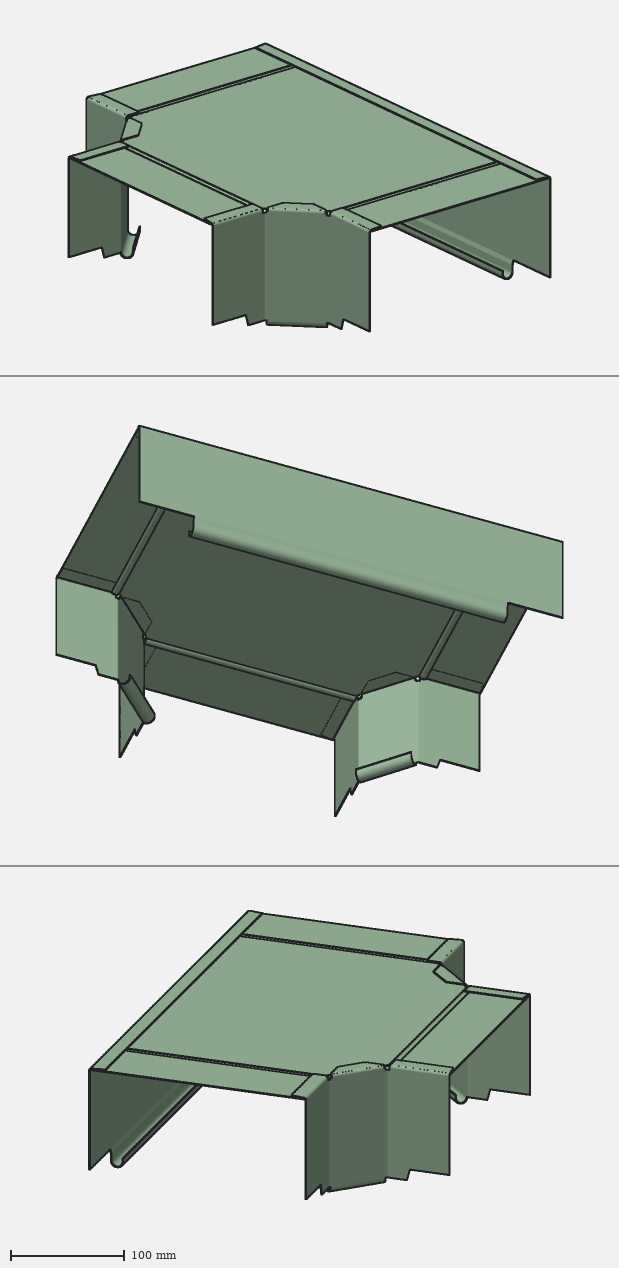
import cadquery as cq
import math


overall_length = 400.0
overall_depth = 302.5
overall_height = 113.0
passage_width = 204.5
corner_leg = 40.0
sheet = 1.0
bend_radius = 3.0
flange_width = 15.0
flange_taper = 1.5
fold_radius = 1.2
relief_depth = 4.5
fold_gap = 1.5
wall_height = 96.5
hook_radius = 6.0
hook_lip = 3.2
hook_setback = 1.2
setback_drop = 4.0
back_hook_length = 297.0
notch_start = 37.2
notch_slope = 3.0
groove_width = 6.0
groove_depth = 2.0

half_length = overall_length / 2
half_width = passage_width / 2
branch_end = overall_depth - half_width
fold = half_width + corner_leg
arm_length = half_length - fold
branch_length = branch_end - fold
corner_length = corner_leg * math.sqrt(2)
mitre = math.tan(math.radians(22.5))
flange_bottom = overall_height - sheet
bend_bottom = overall_height - bend_radius
plate_edge = half_width - bend_radius
wall_bottom = overall_height - wall_height


def half_turn_offset(radius):
    """Offset of a 45 degree point on an arc of the given radius."""
    return radius * math.sqrt(0.5)


def flange(length, start_gap, end_gap, start_taper, end_taper):
    """Quarter bend on top of a wall and the flat flange that follows it."""
    inner_radius = bend_radius - sheet
    outer_mid = half_turn_offset(bend_radius)
    inner_mid = half_turn_offset(inner_radius)
    bend = (
        cq.Workplane("YZ", origin=(start_gap, 0, 0))
        .moveTo(0, bend_bottom)
        .threePointArc((bend_radius - outer_mid, bend_bottom + outer_mid), (bend_radius, overall_height))
        .lineTo(bend_radius, flange_bottom)
        .threePointArc((bend_radius - inner_mid, bend_bottom + inner_mid), (sheet, bend_bottom))
        .close()
        .extrude(length - start_gap - end_gap)
    )
    flat = (
        cq.Workplane("XY", origin=(0, 0, flange_bottom))
        .polyline([
            (start_gap, bend_radius),
            (length - end_gap, bend_radius),
            (length - end_gap - end_taper, flange_width),
            (start_gap + start_taper, flange_width),
        ])
        .close()
        .extrude(sheet)
    )
    return bend.union(flat)


def hook(length):
    """Half-round hook with a straight lip, its outer wall face on Y = 0."""
    hook_width = 2 * hook_radius
    lip_top = hook_radius + hook_lip
    return (
        cq.Workplane("YZ")
        .moveTo(0, hook_radius)
        .threePointArc((hook_radius, 0), (hook_width, hook_radius))
        .lineTo(hook_width, lip_top)
        .lineTo(hook_width - sheet, lip_top)
        .lineTo(hook_width - sheet, hook_radius)
        .threePointArc((hook_radius, sheet), (sheet, hook_radius))
        .close()
        .extrude(length)
    )


def place(part, angle, point):
    """Turn a part about Z and move its start to a plan point."""
    return part.rotate((0, 0, 0), (0, 0, 1), angle).translate((*point, 0))


def arc_bar(half_chord, depth):
    """Bar along Y with a flat top at the plate's upper face and a round underside."""
    return (
        cq.Workplane("XZ", origin=(0, plate_edge, 0))
        .moveTo(-half_chord, flange_bottom)
        .threePointArc((0, flange_bottom - depth), (half_chord, flange_bottom))
        .close()
        .extrude(2 * plate_edge)
    )


def build_top_plate():
    arm_start = fold - bend_radius * mitre
    plate = (
        cq.Workplane("XY", origin=(0, 0, flange_bottom - sheet))
        .polyline([
            (-half_length, plate_edge),
            (-half_length, -plate_edge),
            (-arm_start, -plate_edge),
            (-plate_edge, -arm_start),
            (-plate_edge, -branch_end),
            (plate_edge, -branch_end),
            (plate_edge, -arm_start),
            (arm_start, -plate_edge),
            (half_length, -plate_edge),
            (half_length, plate_edge),
        ])
        .close()
        .extrude(sheet)
    )
    groove = arc_bar(groove_width / 2, groove_depth)
    bulge = arc_bar(groove_width / 2 + sheet, groove_depth + sheet)
    groove_place = fold + groove_width / 2
    grooves = [(0, (groove_place, 0)), (180, (-groove_place, 0)), (-90, (0, -groove_place))]
    for angle, point in grooves:
        plate = plate.union(place(bulge, angle, point)).cut(place(groove, angle, point))
    return plate


def build_back_panel():
    wall = cq.Workplane("XY").box(
        overall_length, sheet, bend_bottom - wall_bottom, centered=False
    ).translate((0, 0, wall_bottom))
    top_flange = flange(overall_length, 0, 0, flange_taper, flange_taper)

    hook_start = (overall_length - back_hook_length) / 2
    slant_bottom = wall_bottom - setback_drop
    strip = (
        cq.Workplane("YZ", origin=(hook_start, 0, 0))
        .polyline([
            (0, wall_bottom),
            (sheet, wall_bottom),
            (hook_setback + sheet, slant_bottom),
            (hook_setback + sheet, hook_radius),
            (hook_setback, hook_radius),
            (hook_setback, slant_bottom),
        ])
        .close()
        .extrude(back_hook_length)
    )
    back_hook = hook(back_hook_length).translate((hook_start, hook_setback, 0))
    panel = wall.union(top_flange).union(strip).union(back_hook)
    return place(panel, 180, (half_length, half_width))


def end_notch():
    """Cutter that shortens a wall near its free end at X = 0."""
    return (
        cq.Workplane("XZ")
        .polyline([
            (0, 0),
            (notch_start + notch_slope, 0),
            (notch_start + notch_slope, hook_radius),
            (notch_start, wall_bottom),
            (0, wall_bottom),
        ])
        .close()
        .extrude(-sheet)
    )


def build_corner_panel():
    """Corner panel on the +X side: branch wall, diagonal wall and passage wall."""
    inner = half_width - sheet
    inner_fold = fold - sheet * mitre
    walls = (
        cq.Workplane("XY", origin=(0, 0, hook_radius))
        .polyline([
            (half_width, -branch_end),
            (half_width, -fold),
            (fold, -half_width),
            (half_length, -half_width),
            (half_length, -inner),
            (inner_fold, -inner),
            (inner, -inner_fold),
            (inner, -branch_end),
        ])
        .close()
        .extrude(bend_bottom - hook_radius)
    )
    for corner in [(inner_fold, -inner), (inner, -inner_fold)]:
        walls = walls.edges(cq.NearestToPointSelector((*corner, flange_bottom / 2))).fillet(fold_radius + sheet)
    for corner in [(fold, -half_width), (half_width, -fold)]:
        walls = walls.edges(cq.NearestToPointSelector((*corner, flange_bottom / 2))).fillet(fold_radius)
    branch_start = (half_width, -branch_end)
    near_fold = (half_width, -fold)
    far_fold = (fold, -half_width)
    branch_flange = flange(branch_length, 0, fold_gap, flange_taper, 0)
    passage_flange = flange(arm_length, fold_gap, 0, 0, flange_taper)
    tab_taper = flange_width - bend_radius
    corner_tab = flange(corner_length, bend_radius, bend_radius, tab_taper, tab_taper)
    corner_hook = hook(corner_length - 2 * fold_gap).translate((fold_gap, 0, 0))
    branch_notch = end_notch()
    passage_notch = branch_notch.mirror("YZ").translate((arm_length, 0, 0))
    reliefs = (
        cq.Workplane("XY", origin=(0, 0, overall_height - relief_depth))
        .pushPoints([near_fold, far_fold])
        .circle(fold_gap)
        .extrude(relief_depth)
    )
    return (
        walls
        .cut(reliefs)
        .cut(place(branch_notch, 90, branch_start))
        .cut(place(passage_notch, 0, far_fold))
        .union(place(branch_flange, 90, branch_start))
        .union(place(corner_tab, 45, near_fold))
        .union(place(passage_flange, 0, far_fold))
        .union(place(corner_hook, 45, near_fold))
    )


top_plate = build_top_plate()
back_panel = build_back_panel()
right_corner_panel = build_corner_panel()
corner_panels = [right_corner_panel, right_corner_panel.mirror("YZ")]

result = cq.Compound.makeCompound([
    top_plate.val(),
    back_panel.val(),
    *[panel.val() for panel in corner_panels],
])